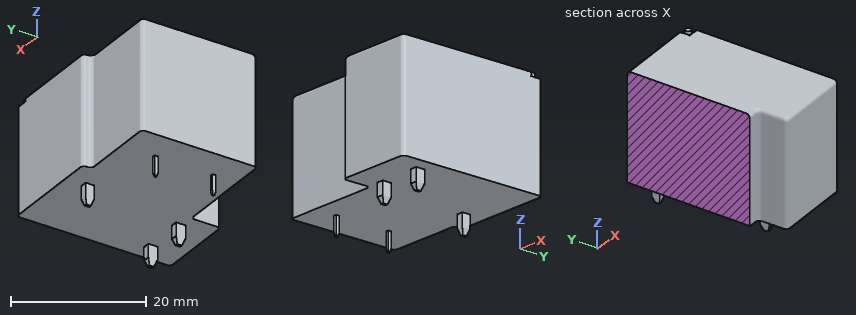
import cadquery as cq

LENGTH = 31.6
WIDTH = 27.2
HEIGHT = 19.5
ARM_X = 18.0
ARM_REACH = 5.2
SHOULDER_X = 13.6
SHOULDER_REACH = 1.6
CORNER_RADIUS = 0.7
TOP_RADIUS = 0.8

NOTCH_LENGTH = 2.4
NOTCH_WIDTH = 2.15
NOTCH_DEPTH = 1.0
NIB_DIAMETER = 0.99

TERMINAL_LENGTH = 3.4
COIL_SIZE = (0.5, 0.6)
COIL_TIP_END = (0.2, 0.25)
COIL_TIP_HEIGHT = 0.6
REAR_CONTACT_SIZE = (1.2, 1.5)
FRONT_CONTACT_SIZE = (1.2, 1.65)
CONTACT_TIP_END = (0.5, 0.8)
CONTACT_TIP_HEIGHT = 1.1

COIL_X = 5.55
COIL_Y = (9.4, 19.6)
FRONT_CONTACT_X = (20.8, 28.35)
FRONT_CONTACT_Y = 5.6
REAR_CONTACT_X = 18.25
REAR_CONTACT_Y = 23.3


def make_housing():
    """Stepped box with rounded vertical corners and a rounded top edge."""
    shoulder_y = WIDTH - SHOULDER_REACH
    outline = [
        (0, ARM_REACH),
        (ARM_X, ARM_REACH),
        (ARM_X, 0),
        (LENGTH, 0),
        (LENGTH, WIDTH),
        (SHOULDER_X, WIDTH),
        (SHOULDER_X, shoulder_y),
        (0, shoulder_y),
    ]
    block = cq.Workplane("XY").polyline(outline).close().extrude(HEIGHT)
    block = block.edges("|Z").fillet(CORNER_RADIUS)
    return block.faces(">Z").edges().fillet(TOP_RADIUS)


def cut_corner_notch(housing):
    """Sink the rear right top corner and leave a round nib standing in it."""
    center = (LENGTH - NOTCH_LENGTH / 2, WIDTH - NOTCH_WIDTH / 2)
    floor = cq.Workplane("XY").workplane(offset=HEIGHT - NOTCH_DEPTH).center(*center)
    notch = floor.rect(NOTCH_LENGTH, NOTCH_WIDTH).extrude(NOTCH_DEPTH)
    nib = floor.circle(NIB_DIAMETER / 2).extrude(NOTCH_DEPTH)
    return housing.cut(notch).union(nib)


def make_terminal(x, y, size, tip_end, tip_height):
    """Rectangular blade under the housing, tapered on all four sides at its end."""
    blade_length = TERMINAL_LENGTH - tip_height
    blade = cq.Workplane("XY").center(x, y).rect(*size).extrude(-blade_length)
    tip = (
        cq.Workplane("XY", origin=(x, y, -blade_length))
        .rect(*size)
        .workplane(offset=-tip_height)
        .rect(*tip_end)
        .loft(ruled=True)
    )
    return blade.union(tip)


def make_coil_terminal(y):
    """Thin terminal of the pair near the left end."""
    return make_terminal(COIL_X, y, COIL_SIZE, COIL_TIP_END, COIL_TIP_HEIGHT)


def make_contact_terminal(x, y, size):
    """Wide terminal of a switched contact."""
    return make_terminal(x, y, size, CONTACT_TIP_END, CONTACT_TIP_HEIGHT)


result = cut_corner_notch(make_housing())
for coil_y in COIL_Y:
    result = result.union(make_coil_terminal(coil_y))
for contact_x in FRONT_CONTACT_X:
    result = result.union(make_contact_terminal(contact_x, FRONT_CONTACT_Y, FRONT_CONTACT_SIZE))
result = result.union(make_contact_terminal(REAR_CONTACT_X, REAR_CONTACT_Y, REAR_CONTACT_SIZE))